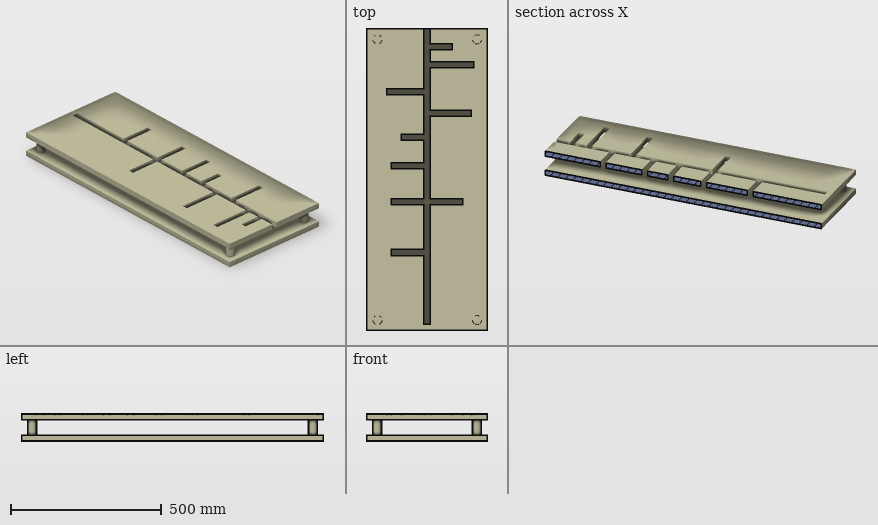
import cadquery as cq

plate_width = 400.0
plate_length = 1000.0
plate_thickness = 20.0
plate_gap = 50.0

post_diameter = 30.0
post_edge_clearance = 20.0

slot_width = 20.0
channel_front_margin = 20.0

branches = [
    (60.0, 83.0),
    (120.0, 155.0),
    (210.0, -133.0),
    (280.0, 146.0),
    (360.0, -85.0),
    (454.0, -119.0),
    (574.0, -119.0),
    (574.0, 119.0),
    (742.0, -119.0),
]

upper_plate_bottom = plate_thickness + plate_gap
back_edge = plate_length / 2
post_inset = post_edge_clearance + post_diameter / 2


def plate(bottom):
    return (
        cq.Workplane("XY")
        .workplane(offset=bottom)
        .rect(plate_width, plate_length)
        .extrude(plate_thickness)
    )


def slot(center_x, center_y, size_x, size_y):
    """Rectangular cutter through the upper plate."""
    return (
        cq.Workplane("XY")
        .workplane(offset=upper_plate_bottom)
        .center(center_x, center_y)
        .rect(size_x, size_y)
        .extrude(plate_thickness)
    )


def posts():
    return (
        cq.Workplane("XY")
        .workplane(offset=plate_thickness)
        .rect(plate_width - 2 * post_inset, plate_length - 2 * post_inset, forConstruction=True)
        .vertices()
        .circle(post_diameter / 2)
        .extrude(plate_gap)
    )


channel_length = plate_length - channel_front_margin
upper_plate = plate(upper_plate_bottom).cut(
    slot(0, back_edge - channel_length / 2, slot_width, channel_length)
)

for distance_from_back, reach in branches:
    branch = slot(reach / 2, back_edge - distance_from_back, abs(reach), slot_width)
    upper_plate = upper_plate.cut(branch)

result = plate(0).union(posts()).union(upper_plate)